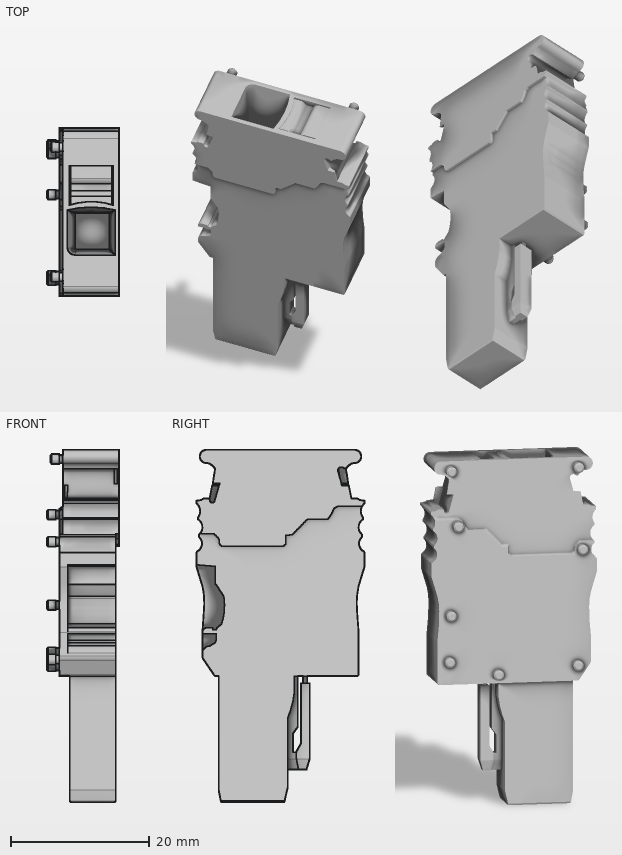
import cadquery as cq
import math


module_width = 8.15
half_shift = 0.5
height = 50.95
half_depth = 12.15
waist_y = 11.3
waist_end_z = 24.6
base_z = 18.24
grip_end_z = 34.08
lug_radius = 0.97
lug_y = 10.7
lug_z = height - lug_radius
base_bevel_top = (-11.05, 20.55)
base_bevel_bottom = (-9.67, 18.5)
corner_bevel = 0.2
base_round = 0.65

pin_length = 1.82
pin_neck_radius = 0.62
pin_head_radius = 0.73
pin_head_length = 1.3
pin_head_chamfer = 0.25
pin_root = 0.3
upper_pins = [(9.4, 49.6), (-9.35, 49.6)]
lower_pins = [(8.45, 41.57), (-9.85, 37.65), (9.5, 28.5), (9.7, 21.7), (2.53, 19.65), (-9.17, 20.65)]

plug_x = 1.5
plug_overlap = 1.0
plug_taper_z = 1.85
plug_tip_bevel_z = 0.25
plug_tip_bevel_x = 0.15
lever_x, lever_width = 3.8, 2.2
stem_width = 0.65
stem_y = 3.55
stem_z = 17.0
rib_x, rib_width = 4.1, 1.6
latch_taper_z = 6.3
latch_end_z = 4.75
latch_end_inset = 0.4


def plate(outline, x_start, thickness):
    """Extrude a (Y, Z) polygon along +X."""
    return cq.Workplane("YZ", origin=(x_start, 0, 0)).polyline(outline).close().extrude(thickness)


def ruled_body(outline_a, x_a, outline_b, x_b):
    """Ruled solid between two (Y, Z) polygons with equally many points."""
    start = cq.Workplane("YZ", origin=(x_a, 0, 0)).polyline(outline_a).close()
    return start.workplane(offset=x_b - x_a).polyline(outline_b).close().loft(ruled=True, combine=True)


def flank(profile, side):
    """Draw one flank from the top to the waist; side is +1 for +Y and -1 for -Y."""

    def at(y, z):
        return (side * y, z)

    profile = profile.lineTo(*at(lug_y, height))
    profile = profile.threePointArc(at(lug_y + lug_radius, lug_z), at(lug_y, lug_z - lug_radius))
    profile = profile.lineTo(*at(10.4, 48.97))
    profile = profile.threePointArc(at(9.85, 48.65), at(9.45, 48.18))
    profile = profile.lineTo(*at(9.15, 48.28))
    profile = profile.threePointArc(at(8.55, 48.38), at(8.28, 47.9))
    profile = profile.lineTo(*at(9.5, 43.6))
    profile = profile.threePointArc(at(9.82, 43.3), at(10.2, 43.6))
    profile = profile.lineTo(*at(10.3, 43.93)).lineTo(*at(11.1, 43.93))
    profile = profile.lineTo(*at(11.45, 43.7)).lineTo(*at(half_depth, 43.6))
    profile = profile.lineTo(*at(half_depth, 43.2))
    profile = profile.threePointArc(at(11.62, 42.1), at(11.94, 41.15)).lineTo(*at(11.94, 40.9))
    profile = profile.threePointArc(at(11.3, 39.8), at(11.78, 38.7)).lineTo(*at(11.78, 38.35))
    profile = profile.threePointArc(at(11.36, 37.3), at(11.98, 36.3)).lineTo(*at(half_depth, 36.1))
    profile = profile.lineTo(*at(half_depth, grip_end_z))
    waist = [at(11.75, 32.7), at(11.28, 31.2), at(11.03, 28.2), at(waist_y, waist_end_z)]
    return profile.spline(waist, includeCurrent=True)


def housing_blank(x_start):
    """Full side outline of the housing as a plate, one half thick."""
    minus_y = flank(cq.Workplane("YZ", origin=(x_start, 0, 0)).moveTo(0, height), -1)
    minus_y = minus_y.lineTo(-waist_y, base_bevel_top[1] + base_round)
    minus_y = minus_y.threePointArc((-11.24, 20.85), base_bevel_top).lineTo(*base_bevel_bottom)
    minus_y = minus_y.threePointArc((-9.53, 18.32), (-9.3, base_z))
    minus_y = minus_y.lineTo(0, base_z).close().extrude(module_width)
    plus_y = flank(cq.Workplane("YZ", origin=(x_start, 0, 0)).moveTo(0, height), 1)
    plus_y = plus_y.lineTo(waist_y, base_z + corner_bevel).lineTo(waist_y - corner_bevel, base_z)
    plus_y = plus_y.lineTo(0, base_z).close().extrude(module_width)
    return minus_y.union(plus_y)


clearance = 0.85
clear_y = half_depth + clearance
joint_inner = [
    (clear_y, 42.75), (8.25, 42.75), (7.75, 42.5), (7.35, 41.65), (6.85, 40.9), (3.9, 40.92),
    (1.68, 38.65), (0.75, 38.6), (0.75, 37.3), (0.4, 37.02),
    (-8.5, 37.02), (-8.8, 37.3), (-8.9, 38.1), (-9.6, 38.8), (-clear_y, 38.8),
]
joint_outer = [
    (clear_y, 42.4), (8.15, 42.4), (7.6, 42.1), (7.2, 41.4), (6.75, 40.87), (4.55, 40.87),
    (1.9, 38.2), (0.9, 38.2), (0.9, 37.05), (0.3, 36.76),
    (-8.4, 36.76), (-8.85, 37.0), (-9.1, 37.8), (-9.7, 38.65), (-clear_y, 38.65),
]
below_joint = [(-clear_y, 0), (clear_y, 0)]


def lower_housing():
    """Housing below the joint, with the bevelled lip along it."""
    lip = ruled_body(joint_outer + below_joint, 0, joint_inner + below_joint, half_shift)
    core = plate(joint_inner + below_joint, half_shift, module_width - half_shift)
    return housing_blank(0).intersect(lip.union(core))


def upper_housing():
    """Housing above the joint."""
    above_joint = [(-clear_y, height + clearance), (clear_y, height + clearance)]
    keep = plate(joint_inner + above_joint, half_shift, module_width)
    return housing_blank(half_shift).intersect(keep)


tab_thickness = 0.75
tab_taper = 1.1
tab_reach = 1.3
tab_edge = 0.3


def tab(z_bottom, z_top, y_bottom, y_top, x_face, inward):
    """Wedge tab, flat on x_face and tapering on the other side (inward is +1 or -1).

    y_bottom and y_top place the free edge, which leans along the recess wall.
    """

    def outline(shift):
        return [
            (y_top + tab_reach, z_top), (y_top + shift, z_top),
            (y_bottom + shift, z_bottom), (y_bottom + tab_reach, z_bottom),
        ]

    x_edge = x_face + inward * tab_edge
    x_root = x_face + inward * tab_thickness
    flat = plate(outline(0), min(x_face, x_edge), tab_edge)
    if inward > 0:
        return flat.union(ruled_body(outline(0), x_edge, outline(tab_taper), x_root))
    return flat.union(ruled_body(outline(tab_taper), x_root, outline(0), x_edge))


def latch_tabs():
    """Two tabs on the -Y side; the +Y pair is the same turned half round about Z."""
    x_left = half_shift
    x_right = half_shift + module_width
    pair = tab(46.05, 48.5, -9.8, -9.42, x_right, -1)
    pair = pair.union(tab(43.2, 45.8, -10.4, -9.88, x_left, 1))
    x_mid = (x_left + x_right) / 2
    return pair.union(pair.rotate((x_mid, 0, 0), (x_mid, 0, 1), 180))


port_depth = 8.0
port_mouth = {"x0": 1.16, "x1": 8.04, "y_near": -6.2, "y_far": 0.3, "bulge": 0.42, "corner": 1.1}
port_floor = {"x0": 2.27, "x1": 7.2, "y_near": -5.4, "y_far": -0.2, "bulge": 0.02, "corner": 0.1}
arc_inset = 1 - math.sqrt(0.5)


def port_outline(plane, x0, x1, y_near, y_far, bulge, corner):
    """Rectangle with one rounded corner and a bulged +Y side."""
    outline = plane.moveTo(x0 + corner, y_near).lineTo(x1, y_near).lineTo(x1, y_far)
    outline = outline.threePointArc(((x0 + x1) / 2, y_far + bulge), (x0, y_far))
    middle = corner * arc_inset
    outline = outline.lineTo(x0, y_near + corner)
    return outline.threePointArc((x0 + middle, y_near + middle), (x0 + corner, y_near)).close()


def port():
    """Tapered test port."""
    mouth = port_outline(cq.Workplane("XY", origin=(0, 0, height)), **port_mouth)
    floor = mouth.workplane(offset=-port_depth)
    return port_outline(floor, **port_floor).loft(ruled=True, combine=True)


window_x0, window_x1 = 1.43, 7.8
window_y0, window_y1 = 1.0, 6.67
window_bulge = 0.5
window_depth = 1.6
button_gap = 0.2
finger_drop = 0.3
button_top = height - 0.02
button_step = height - 0.12
button_floor = height - 0.75


def window():
    """Opening around the release button."""
    outline = cq.Workplane("XY", origin=(0, 0, height)).moveTo(window_x0, window_y1)
    outline = outline.lineTo(window_x1, window_y1).lineTo(window_x1, window_y0)
    crown = ((window_x0 + window_x1) / 2, window_y0 + window_bulge)
    outline = outline.threePointArc(crown, (window_x0, window_y0))
    return outline.close().extrude(-window_depth)


def button():
    """Release button with a rounded finger edge and a step."""
    bottom = height - window_depth
    profile = cq.Workplane("YZ", origin=(window_x0 + button_gap, 0, 0)).moveTo(window_y1, bottom)
    profile = profile.lineTo(window_y1, button_top).lineTo(4.86, button_top)
    profile = profile.threePointArc((4.3, button_top - finger_drop), (4.07, button_floor))
    profile = profile.lineTo(3.08, button_floor).lineTo(2.3, button_step)
    profile = profile.lineTo(window_y0, button_step).lineTo(window_y0, bottom).close()
    block = profile.extrude(window_x1 - window_x0 - 2 * button_gap)
    return block.intersect(window())


pocket_wall = 1.2
lip_face_z = 24.7
lip_bottom_z = 24.4
ramp_end_z = 21.3


def pocket():
    """Upper and lower pocket, with a rounded lip left between them."""
    upper = cq.Workplane("YZ", origin=(pocket_wall, 0, 0)).moveTo(-clear_y, 34.4).lineTo(-9.4, 34.1)
    upper = upper.lineTo(-9.4, 31.55).lineTo(-9.25, 31.4).lineTo(-8.2, 29.78).lineTo(-8.15, 29.5)
    upper = upper.threePointArc((-8.1, 27.8), (-8.5, 25.8)).lineTo(-9.2, 25.2).lineTo(-9.3, 24.95)
    upper = upper.lineTo(-9.75, 24.95).lineTo(-9.75, 25.2).lineTo(-10.3, 25.2)
    upper = upper.threePointArc((-11.05, 25.08), (-waist_y, lip_face_z)).lineTo(-clear_y, lip_face_z)
    upper = upper.close().extrude(module_width)
    lower = cq.Workplane("YZ", origin=(pocket_wall, 0, 0)).moveTo(-clear_y, lip_bottom_z)
    lower = lower.lineTo(-9.3, lip_bottom_z).lineTo(-9.3, 23.45).lineTo(-9.42, 23.1).lineTo(-10.2, 22.6)
    lower = lower.threePointArc((-11.05, 22.2), (-waist_y, ramp_end_z)).lineTo(-clear_y, ramp_end_z)
    return upper.union(lower.close().extrude(module_width))


def narrowed(solid, x0, x1, z_start, z_end, inset):
    """Cut both X sides of a solid to a taper between z_start and z_end."""
    wedge = [(x0, z_start), (x0 + inset, z_end), (x0, z_end)]
    other = [(x1, z_start), (x1 - inset, z_end), (x1, z_end)]
    for points in (wedge, other):
        solid = solid.cut(cq.Workplane("XZ").polyline(points).close().extrude(half_depth, both=True))
    return solid


def plug():
    """Contact plug, narrowed at the tip."""
    top = base_z + plug_overlap
    profile = cq.Workplane("YZ", origin=(plug_x, 0, 0)).moveTo(2.0, top).lineTo(2.0, 15.9)
    profile = profile.threePointArc((1.65, 14.0), (1.05, 12.2)).lineTo(1.05, 2.1)
    profile = profile.lineTo(0.55, 0).lineTo(-8.55, 0).lineTo(-8.65, plug_tip_bevel_z)
    profile = profile.lineTo(-8.95, plug_taper_z).lineTo(-8.95, top).close().extrude(module_width - plug_x)
    return narrowed(profile, plug_x, module_width, plug_tip_bevel_z, 0, plug_tip_bevel_x)


def latch():
    """Coding lever beside the plug and the rib that carries it."""
    top = base_z + plug_overlap
    rib = plate([
        (2.5, top), (2.5, 10.9), (1.83, 9.98), (1.83, 7.27), (2.4, 7.27),
        (2.6, latch_end_z), (0.8, latch_end_z), (0.8, top),
    ], rib_x, rib_width)
    lever = plate([
        (4.23, 17.25), (2.93, 17.25), (2.93, 8.5), (2.3, 7.4), (2.3, latch_taper_z),
        (2.6, latch_end_z), (3.77, latch_end_z), (4.23, latch_taper_z),
    ], lever_x, lever_width)
    rib = narrowed(rib, rib_x, rib_x + rib_width, latch_taper_z, latch_end_z, latch_end_inset)
    lever = narrowed(lever, lever_x, lever_x + lever_width, latch_taper_z, latch_end_z, latch_end_inset)
    stem = cq.Workplane("XY", origin=(lever_x + lever_width / 2, stem_y, stem_z))
    stem = stem.rect(stem_width, stem_width).extrude(top - stem_z)
    return rib.union(lever).union(stem)


def pins(places, x_face):
    """Locking pins with a chamfered head, standing out of the face at x_face."""
    neck = cq.Workplane("YZ", origin=(x_face + pin_root, 0, 0)).pushPoints(places)
    neck = neck.circle(pin_neck_radius).extrude(pin_head_length / 2 - pin_length - pin_root)
    head = cq.Workplane("YZ", origin=(x_face - pin_length, 0, 0)).pushPoints(places)
    head = head.circle(pin_head_radius).extrude(pin_head_length)
    return neck.union(head.faces("<X").chamfer(pin_head_chamfer))


upper_half = upper_housing().union(latch_tabs()).cut(port()).cut(window()).union(button())
lower_half = lower_housing().cut(pocket()).union(plug()).union(latch())
result = upper_half.union(lower_half)
result = result.union(pins(upper_pins, half_shift)).union(pins(lower_pins, 0))